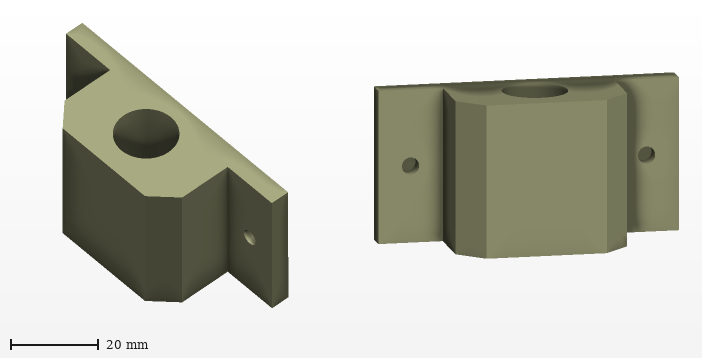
import cadquery as cq
import math

overall_height = 35.81
overall_depth = 25.0
body_width = 40.0
body_chamfer = 6.0
wing_length = 15.0
wing_thickness = 5.0
bore_diameter = 15.2
bore_from_back = 12.0
screw_hole_diameter = 4.0
screw_hole_spacing = 55.0
screw_hole_depth = 4.0

end_lean = 0.08
lean_angle = math.atan(end_lean / overall_height)
body_height = overall_height - wing_length * math.tan(lean_angle)

half_body = body_width / 2
wing_tip = half_body + wing_length


def make_body():
    """Central block with its two front vertical edges chamfered."""
    block = cq.Workplane("XY").box(body_width, overall_depth, body_height, centered=(True, False, False))
    return block.translate((0, -overall_depth, 0)).faces("<Y").edges("|Z").chamfer(body_chamfer)


def make_wing(outline):
    """Mounting wing flush with the back face, from its outline in X and Z."""
    return cq.Workplane("XZ").polyline(outline).close().extrude(wing_thickness)


def make_left_wing():
    """Square-ended wing on the -X side."""
    return make_wing([(-half_body, 0), (-wing_tip, 0), (-wing_tip, body_height), (-half_body, body_height)])


def make_right_wing():
    """Wing on the +X side, with a leaning end and a top that rises to the overall height."""
    return make_wing(
        [(half_body, 0), (wing_tip + end_lean, 0), (wing_tip, overall_height), (half_body, body_height)]
    )


def make_bore():
    """Vertical through bore."""
    return cq.Workplane("XY").center(0, -bore_from_back).circle(bore_diameter / 2).extrude(overall_height)


def make_screw_holes():
    """One blind hole in the front of each wing, at mid height."""
    half_spacing = screw_hole_spacing / 2
    return (
        cq.Workplane("XZ", origin=(0, -wing_thickness, overall_height / 2))
        .pushPoints([(-half_spacing, 0), (half_spacing, 0)])
        .circle(screw_hole_diameter / 2)
        .extrude(-screw_hole_depth)
    )


solid_part = make_body().union(make_left_wing()).union(make_right_wing())
result = solid_part.cut(make_bore()).cut(make_screw_holes()).clean()